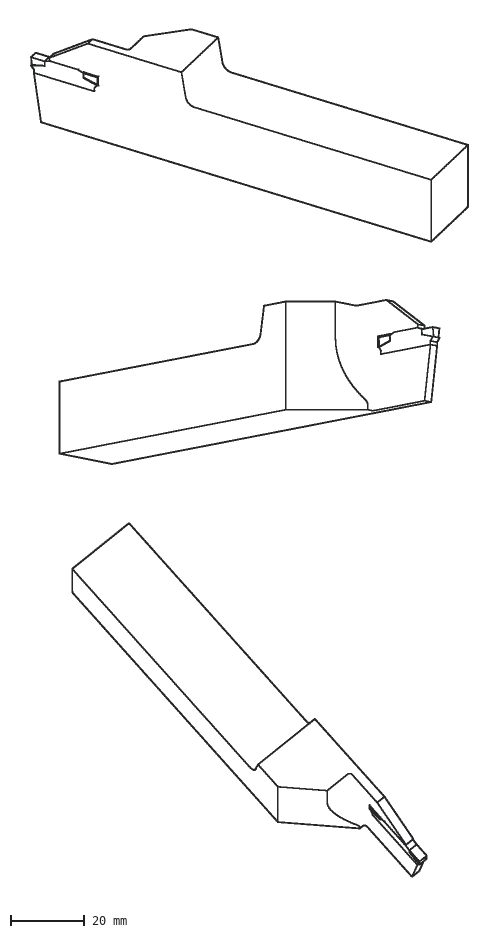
import cadquery as cq
import math

length = 125.0
width = 20.2
shank_height = 20.0
head_height = 30.0

blade_foot_x = 3.1
head_top_front_x = 17.8
head_top_rear_x = 47.0
step_fillet_start = (48.4, 22.1)
step_fillet_end_x = 51.5
step_fillet_middle = (49.4, 20.6)
clamp_nose = (5.6, 21.5)

blade_width = 2.6
relief_wall_x = 29.1
relief_radius = 28.5
relief_foot_z = 3.0
relief_foot_radius = 3.1
relief_corner = 0.9
flank_end_x = 38.6

insert_length = 20.6
insert_bottom_z = 15.2
insert_edge_z = 20.0
insert_top_z = 20.6
insert_waist_z = 16.2
insert_edge_foot_z = 17.4
insert_inset = 0.9
edge_land = 4.2
top_rise_end = 5.9
edge_relief_length = edge_land
edge_relief_rear_z = 18.5
edge_relief_depth = 0.4

rear_clearance = 0.4


def mirrored(points):
    """Points reflected about the middle of the insert, in reverse order."""
    return [(insert_length - x, z) for x, z in reversed(points)]


def prism(points, y_start, y_end):
    """Extrude an XZ outline between two Y positions."""
    plane = cq.Workplane("XZ", origin=(0, y_start, 0))
    return plane.polyline(points).close().extrude(y_start - y_end)


def make_insert_blank():
    end = [
        (insert_inset, insert_bottom_z),
        (insert_inset, insert_waist_z),
        (0, insert_edge_foot_z),
        (0, insert_edge_z),
        (edge_land, insert_edge_z),
        (top_rise_end, insert_top_z),
    ]
    return prism(end + mirrored(end), 0, blade_width)


def make_edge_relief():
    """Wedge that undercuts one side below the front cutting edge."""
    outer = [
        (0, insert_edge_z),
        (edge_relief_length, insert_edge_z),
        (edge_relief_length, edge_relief_rear_z),
        (0, insert_edge_foot_z),
    ]
    block = prism(outer, 0, edge_relief_depth)
    taper = (
        cq.Workplane("YZ")
        .polyline([(0, insert_edge_z), (edge_relief_depth, insert_edge_foot_z), (0, insert_edge_foot_z)])
        .close()
        .extrude(edge_relief_length)
    )
    return block.intersect(taper)


def make_insert():
    insert = make_insert_blank()
    front_relief = make_edge_relief()
    rear_relief = front_relief.mirror("YZ", (insert_length / 2, 0, 0))
    for relief in (front_relief, rear_relief):
        far_relief = relief.mirror("XZ", (0, blade_width / 2, 0))
        insert = insert.cut(relief).cut(far_relief)
    return insert


def make_holder_blank():
    return (
        cq.Workplane("XZ")
        .moveTo(blade_foot_x, 0)
        .lineTo(length, 0)
        .lineTo(length, shank_height)
        .lineTo(step_fillet_end_x, shank_height)
        .threePointArc(step_fillet_middle, step_fillet_start)
        .lineTo(head_top_rear_x, head_height)
        .lineTo(head_top_front_x, head_height)
        .lineTo(*clamp_nose)
        .lineTo(top_rise_end, insert_top_z)
        .lineTo(insert_inset, insert_bottom_z)
        .close()
        .extrude(-width)
    )


def make_relief_cutter():
    """Space behind the blade, ending at a curved wall with a rounded root."""
    centre_x = relief_wall_x - relief_radius

    def wall_at(z):
        return centre_x + math.sqrt(relief_radius**2 - (shank_height - z) ** 2)

    lean = math.asin((shank_height - relief_foot_z) / relief_radius)
    foot_top_x = wall_at(relief_foot_z)
    foot_centre_x = foot_top_x + relief_foot_radius * math.cos(lean)
    foot_bottom_z = relief_foot_z - relief_foot_radius * math.sin(lean)
    foot_x = foot_centre_x - relief_foot_radius
    foot_middle = (
        foot_centre_x - relief_foot_radius * math.cos(lean / 2),
        foot_bottom_z + relief_foot_radius * math.sin(lean / 2),
    )
    middle_z = (shank_height + relief_foot_z) / 2
    cutter = (
        cq.Workplane("XZ", origin=(0, blade_width, 0))
        .lineTo(foot_x, 0)
        .lineTo(foot_x, foot_bottom_z)
        .threePointArc(foot_middle, (foot_top_x, relief_foot_z))
        .threePointArc((wall_at(middle_z), middle_z), (relief_wall_x, shank_height))
        .lineTo(relief_wall_x, head_height)
        .lineTo(0, head_height)
        .close()
        .extrude(-width)
    )
    root_box = cq.selectors.BoxSelector(
        (foot_x - relief_corner, 0, foot_bottom_z / 4),
        (length, width, head_height - relief_corner),
    )
    root_edges = cutter.faces("<Y").edges(root_box)
    return root_edges.fillet(relief_corner)


def make_flank_cutter():
    """45 degree flank running from the far side of the shank to the blade."""
    flank_start_x = flank_end_x - (width - blade_width)
    return (
        cq.Workplane("XY")
        .polyline([(0, blade_width), (flank_start_x, blade_width), (flank_end_x, width), (0, width)])
        .close()
        .extrude(head_height)
    )


def make_seat_clearance():
    """Pocket that keeps the holder off the rear cutting edge."""
    front_x = insert_length - edge_land
    rear_x = insert_length + rear_clearance
    top_z = insert_edge_z + rear_clearance
    outline = [
        (front_x, insert_edge_foot_z),
        (rear_x, insert_edge_foot_z),
        (rear_x, top_z),
        (front_x, top_z),
    ]
    return prism(outline, 0, blade_width)


def make_holder():
    holder = make_holder_blank().cut(make_relief_cutter()).cut(make_flank_cutter())
    return holder.cut(make_insert_blank()).cut(make_seat_clearance())


holder = make_holder()
insert = make_insert()
result = cq.Compound.makeCompound([holder.val(), insert.val()])